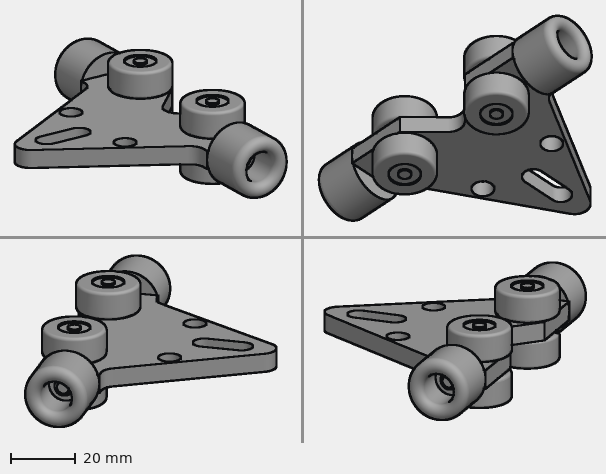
import cadquery as cq
import math

plate_thickness = 6.0
plate_half_width = 35.0
arm_half_depth = 10.0
shoulder_x = 30.0
side_angle = math.radians(60)
corner_radius = 5.0
notch_apex_y = -4.2
notch_radius = corner_radius

hole_diameter = 7.0
hole_x = 15.0
hole_y = -27.0
slot_center_y = -40.0
slot_length = 19.0

bumper_radius = arm_half_depth
bumper_length = 16.0
bumper_bore_radius = bumper_radius / 2
bumper_lip_radius = (bumper_radius - bumper_bore_radius) / 2
bumper_bore_depth = 12.0
bumper_pin_radius = 3.0
bumper_pin_length = 2.0
bumper_pin_chamfer = 1.0

roller_x = 20.0
roller_y = 2.0
roller_radius = bumper_radius
roller_height = 9.0
roller_fillet = 1.0
roller_recess_radius = roller_radius / 2
roller_recess_depth = 0.5
roller_pin_radius = 2.0


def make_plate():
    """Triangular plate with side arms, a V notch, two round holes and a slot."""
    tip_y = -arm_half_depth - shoulder_x * math.tan(side_angle)
    notch_half_width = arm_half_depth - notch_apex_y
    outline = [
        (0, tip_y),
        (shoulder_x, -arm_half_depth),
        (plate_half_width, -arm_half_depth),
        (plate_half_width, arm_half_depth),
        (notch_half_width, arm_half_depth),
        (0, notch_apex_y),
        (-notch_half_width, arm_half_depth),
        (-plate_half_width, arm_half_depth),
        (-plate_half_width, -arm_half_depth),
        (-shoulder_x, -arm_half_depth),
    ]
    plate = (
        cq.Workplane("XY")
        .workplane(offset=-plate_thickness / 2)
        .polyline(outline)
        .close()
        .extrude(plate_thickness)
    )
    shoulders = [(shoulder_x, -arm_half_depth), (-shoulder_x, -arm_half_depth)]
    for x, y in [(0, tip_y), *shoulders]:
        plate = plate.edges(cq.NearestToPointSelector((x, y, 0))).fillet(corner_radius)
    plate = plate.edges(cq.NearestToPointSelector((0, notch_apex_y, 0))).fillet(notch_radius)

    holes = (
        cq.Workplane("XY")
        .pushPoints([(-hole_x, hole_y), (hole_x, hole_y)])
        .circle(hole_diameter / 2)
        .extrude(plate_thickness, both=True)
    )
    slot = (
        cq.Workplane("XY")
        .center(0, slot_center_y)
        .slot2D(slot_length, hole_diameter, 90)
        .extrude(plate_thickness, both=True)
    )
    return plate.cut(holes).cut(slot)


def make_bumper():
    """Bumper on the +X end: fully rounded lip, blind bore, chamfered pin on the bore floor."""
    outer_x = plate_half_width + bumper_length
    lip_start_x = outer_x - bumper_lip_radius
    lip_middle_radius = bumper_radius - bumper_lip_radius
    floor_x = outer_x - bumper_bore_depth
    pin_end_x = floor_x + bumper_pin_length
    return (
        cq.Workplane("XY")
        .moveTo(plate_half_width, 0)
        .lineTo(plate_half_width, bumper_radius)
        .lineTo(lip_start_x, bumper_radius)
        .threePointArc((outer_x, lip_middle_radius), (lip_start_x, bumper_bore_radius))
        .lineTo(floor_x, bumper_bore_radius)
        .lineTo(floor_x, bumper_pin_radius)
        .lineTo(pin_end_x - bumper_pin_chamfer, bumper_pin_radius)
        .lineTo(pin_end_x, bumper_pin_radius - bumper_pin_chamfer)
        .lineTo(pin_end_x, 0)
        .close()
        .revolve(360, (0, 0, 0), (1, 0, 0))
    )


def make_roller():
    """Roller on the upper face at +X: rounded rims and a shallow recess around a flush pin."""
    base = cq.Workplane("XY").workplane(offset=plate_thickness / 2).center(roller_x, roller_y)
    recess_floor = roller_height - roller_recess_depth
    roller = base.circle(roller_radius).extrude(roller_height).edges().fillet(roller_fillet)
    recess = (
        base.workplane(offset=recess_floor)
        .circle(roller_recess_radius)
        .circle(roller_pin_radius)
        .extrude(roller_recess_depth)
    )
    return roller.cut(recess)


bumper = make_bumper()
roller = make_roller()
roller_pair = roller.union(roller.mirror("XY"))

result = make_plate()
for fitting in (bumper, roller_pair):
    result = result.union(fitting).union(fitting.mirror("YZ"))